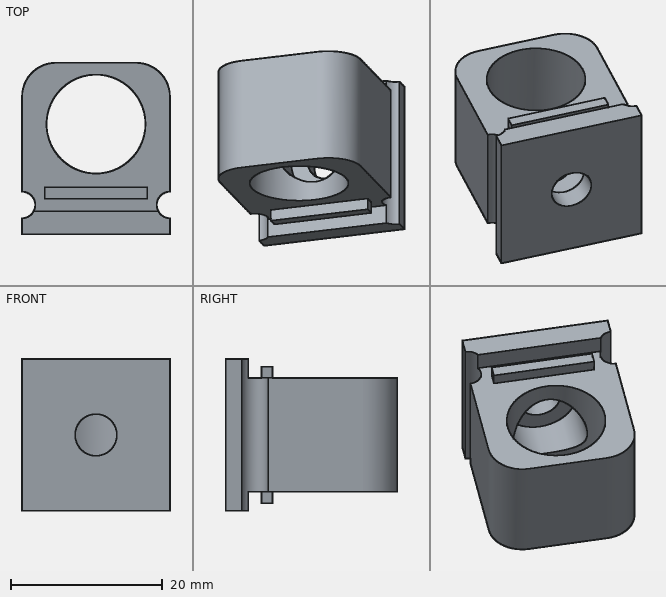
import cadquery as cq

width = 19.5
depth = 22.6
plate_height = 20.0
plate_thickness = 3.0

block_height = 15.0
corner_radius = 4.5
bore_diameter = 13.0
bore_y = 14.5

rib_length = 13.45
rib_front_y = 4.7
rib_thickness = 1.5
rib_span = 18.01

groove_radius = 1.75
groove_y = 3.86
screw_diameter = 5.5
head_diameter = 10.0


def box_from(front_y, size_x, size_y, size_z):
    """Box centred in X and Z, extending back from front_y."""
    start = cq.Workplane("XY", origin=(0, front_y, 0))
    return start.box(size_x, size_y, size_z, centered=(True, False, True))


def vertical_cylinder(x, y, radius):
    """Vertical cutter as tall as the plate."""
    return cq.Workplane("XY").center(x, y).circle(radius).extrude(plate_height / 2, both=True)


plate = box_from(0, width, plate_thickness, plate_height)
block = box_from(0, width, depth, block_height).edges("|Z and >Y").fillet(corner_radius)
ribs = box_from(rib_front_y, rib_length, rib_thickness, rib_span)
result = plate.union(block).union(ribs)

result = result.cut(vertical_cylinder(0, bore_y, bore_diameter / 2))

for side in (-1, 1):
    result = result.cut(vertical_cylinder(side * width / 2, groove_y, groove_radius))

screw_hole = cq.Workplane("XZ").circle(screw_diameter / 2).extrude(-plate_thickness)
head_length = bore_y - plate_thickness
pocket_plane = cq.Workplane("XZ", origin=(0, plate_thickness, 0))
head_pocket = pocket_plane.circle(head_diameter / 2).extrude(-head_length)
result = result.cut(screw_hole).cut(head_pocket)